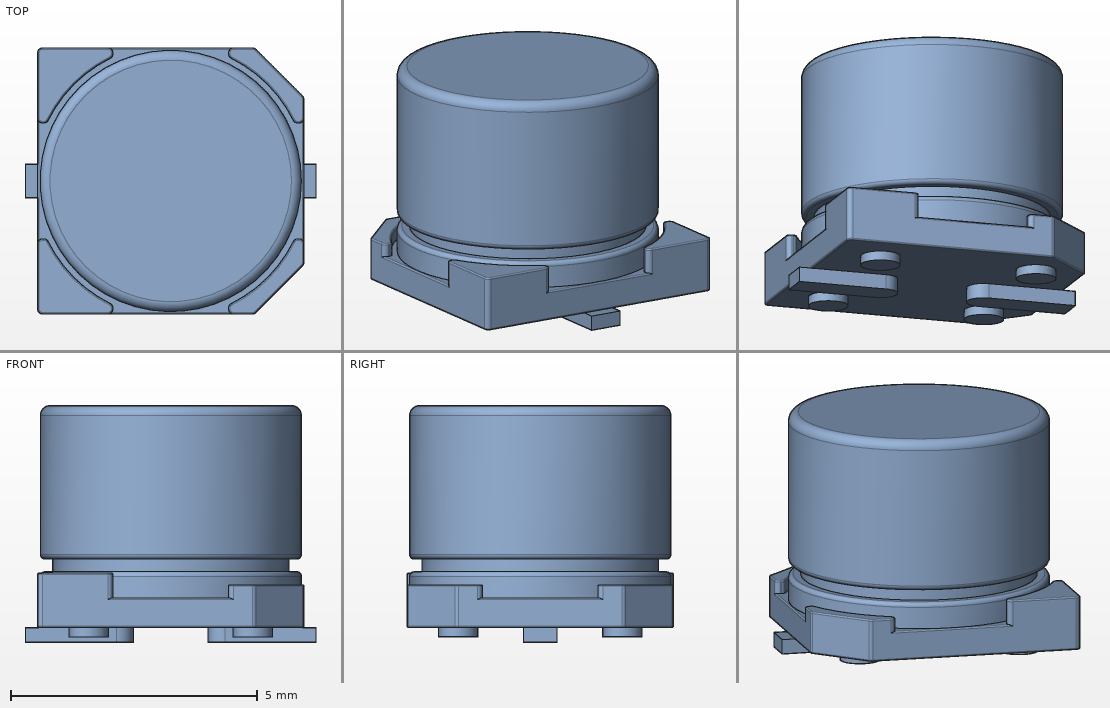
import cadquery as cq

length = 5.9
base_size = 5.4
height = 4.8

base_bottom = 0.3
floor_top = 0.895
tall_corner_top = 1.405
low_corner_top = 1.17
base_bevel = 1.005
vertical_round = 0.1
edge_round = 0.03
pocket_diameter = 5.545
slot_width = 2.35

can_diameter = 5.3
neck_diameter = 4.8
lip_top = 1.435
can_bottom = 1.69
can_top_round = 0.2
groove_round = 0.095

lead_width = 0.685
lead_inner_end = 0.755
foot_diameter = 0.8
foot_bottom = 0.11
foot_offset = 1.665


def base_block(bottom, top):
    """Square block with the two +X corners bevelled and all upright edges rounded."""
    return (
        cq.Workplane("XY", origin=(0, 0, bottom))
        .rect(base_size, base_size)
        .extrude(top - bottom)
        .edges("|Z and >X")
        .chamfer(base_bevel)
        .edges("|Z")
        .fillet(vertical_round)
    )


def corner_block(x_sign, y_sign, top):
    """Raised base corner, hollowed by the round pocket and ending at the side slots."""
    bottom = floor_top - edge_round
    inner = slot_width / 2
    outer = base_size / 2
    center = (inner + outer) / 2
    block = (
        cq.Workplane("XY", origin=(x_sign * center, y_sign * center, bottom))
        .rect(outer - inner, outer - inner)
        .extrude(top - bottom)
    )
    pocket = (
        cq.Workplane("XY", origin=(0, 0, bottom))
        .circle(pocket_diameter / 2)
        .extrude(top - bottom)
    )
    corner = block.cut(pocket)
    if x_sign > 0:
        outermost = f">({x_sign}, {y_sign}, 0)"
        corner = corner.edges("|Z").edges(outermost).chamfer(base_bevel)
    corner = corner.edges("|Z").fillet(vertical_round)
    return corner.faces(">Z").edges().fillet(edge_round)


def base():
    """Floor plate with four raised corners, the two bevelled ones lower."""
    body = base_block(base_bottom, floor_top).edges("<Z or >Z").fillet(edge_round)
    for y_sign in (-1, 1):
        body = body.union(corner_block(-1, y_sign, tall_corner_top))
        body = body.union(corner_block(1, y_sign, low_corner_top))
    return body


def can():
    """Round can with a narrow neck groove between its lower lip and its shell."""
    lip = (
        cq.Workplane("XY", origin=(0, 0, floor_top))
        .circle(can_diameter / 2)
        .extrude(lip_top - floor_top)
        .faces(">Z")
        .edges()
        .fillet(groove_round)
    )
    neck = (
        cq.Workplane("XY", origin=(0, 0, floor_top))
        .circle(neck_diameter / 2)
        .extrude(can_bottom - floor_top)
    )
    shell = (
        cq.Workplane("XY", origin=(0, 0, can_bottom))
        .circle(can_diameter / 2)
        .extrude(height - can_bottom)
        .faces(">Z")
        .edges()
        .fillet(can_top_round)
        .faces("<Z")
        .edges()
        .fillet(groove_round)
    )
    return lip.union(neck).union(shell)


def lead(x_sign):
    """Flat terminal with a half-round inner end."""
    half_width = lead_width / 2
    outer_x = x_sign * length / 2
    round_x = x_sign * (lead_inner_end + half_width)
    return (
        cq.Workplane("XY")
        .moveTo(outer_x, -half_width)
        .lineTo(round_x, -half_width)
        .threePointArc((x_sign * lead_inner_end, 0), (round_x, half_width))
        .lineTo(outer_x, half_width)
        .close()
        .extrude(base_bottom)
    )


def feet():
    """Four round standoffs under the base."""
    return (
        cq.Workplane("XY", origin=(0, 0, foot_bottom))
        .rect(2 * foot_offset, 2 * foot_offset, forConstruction=True)
        .vertices()
        .circle(foot_diameter / 2)
        .extrude(base_bottom - foot_bottom)
    )


result = base().union(can()).union(feet())
for x_sign in (-1, 1):
    result = result.union(lead(x_sign))